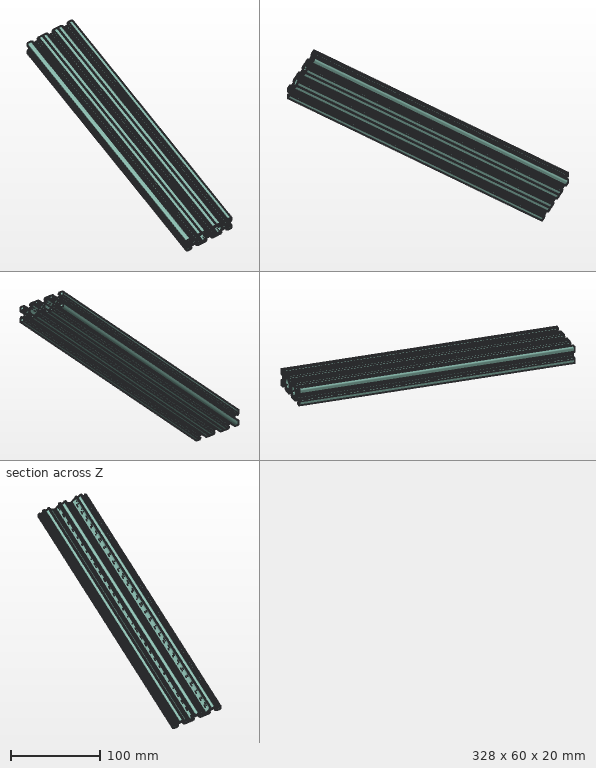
import cadquery as cq
LENGTH = 328.0
MODULE = 20.0
MODULE_COUNT = 3
WIDTH = MODULE * MODULE_COUNT
HEIGHT = MODULE
CORNER_RADIUS = 1.4

MOUTH_HALF_WIDTH = 4.75
THROAT_HALF_WIDTH = 3.18
LIP_THICKNESS = 1.8
SLOT_HALF_WIDTH = 5.25

CORE_HALF_SIZE = 4.45
BORE_DIAMETER = 5.0

WEB_SLOT_OFFSET = 0.8
WEB_CHAMBER_OFFSET = 1.2

CHAMBER_CORE_HALF_SIZE = 4.3
CHAMBER_HALF_HEIGHT = 7.2
CHAMBER_BULGE = 0.95

FLOOR_GROOVE_HALF_WIDTH = 1.4
FLOOR_GROOVE_BOTTOM_HALF_WIDTH = 0.55
FLOOR_GROOVE_DEPTH = 0.4
ROOF_GROOVE_HALF_WIDTH = 1.0
ROOF_GROOVE_DEPTH = 0.75
FACE_GROOVE_HALF_WIDTH = 0.35
FACE_GROOVE_DEPTH = 0.35

HALF_HEIGHT = HEIGHT / 2
HALF_MODULE = MODULE / 2
BORE_POSITIONS = (-MODULE, 0.0, MODULE)
CHAMBER_POSITIONS = (-HALF_MODULE, HALF_MODULE)


def extrude_section(outline):
    """Extrude a closed YZ outline over the full length, centred on the origin."""
    return outline.extrude(LENGTH / 2, both=True)


def make_bores():
    """Round bores through the middle of every core."""
    centers = [(y, 0) for y in BORE_POSITIONS]
    return extrude_section(cq.Workplane("YZ").pushPoints(centers).circle(BORE_DIAMETER / 2))


def make_slot():
    """Cutter for one upward-facing slot above a bore at the origin."""
    throat_top = HALF_HEIGHT - (MOUTH_HALF_WIDTH - THROAT_HALF_WIDTH)
    lip_bottom = HALF_HEIGHT - LIP_THICKNESS
    right_side = [
        (MOUTH_HALF_WIDTH, HALF_HEIGHT),
        (THROAT_HALF_WIDTH, throat_top),
        (THROAT_HALF_WIDTH, lip_bottom),
        (SLOT_HALF_WIDTH, lip_bottom),
        (SLOT_HALF_WIDTH, SLOT_HALF_WIDTH + WEB_SLOT_OFFSET),
        (CORE_HALF_SIZE - WEB_SLOT_OFFSET, CORE_HALF_SIZE),
        (FLOOR_GROOVE_HALF_WIDTH, CORE_HALF_SIZE),
        (FLOOR_GROOVE_BOTTOM_HALF_WIDTH, CORE_HALF_SIZE - FLOOR_GROOVE_DEPTH),
    ]
    left_side = [(-y, z) for y, z in reversed(right_side)]
    return extrude_section(cq.Workplane("YZ").polyline(right_side + left_side).close())


def make_chamber():
    """Cutter for the chamber between the middle core and the +Y end core."""
    inner_wall = CHAMBER_CORE_HALF_SIZE
    outer_wall = MODULE - CHAMBER_CORE_HALF_SIZE
    wall_top = CHAMBER_CORE_HALF_SIZE - WEB_CHAMBER_OFFSET
    roof_inner = CHAMBER_HALF_HEIGHT + WEB_CHAMBER_OFFSET
    roof_outer = MODULE - roof_inner
    upper_half = [
        (outer_wall, wall_top),
        (roof_outer, CHAMBER_HALF_HEIGHT),
        (HALF_MODULE + ROOF_GROOVE_HALF_WIDTH, CHAMBER_HALF_HEIGHT),
        (HALF_MODULE, CHAMBER_HALF_HEIGHT + ROOF_GROOVE_DEPTH),
        (HALF_MODULE - ROOF_GROOVE_HALF_WIDTH, CHAMBER_HALF_HEIGHT),
        (roof_inner, CHAMBER_HALF_HEIGHT),
        (inner_wall, wall_top),
    ]
    lower_half = [(y, -z) for y, z in reversed(upper_half)]
    bulge_tip = (outer_wall + CHAMBER_BULGE, 0)
    outline = cq.Workplane("YZ").polyline(upper_half + lower_half)
    return extrude_section(outline.threePointArc(bulge_tip, upper_half[0]).close())


def make_face_groove():
    """Cutter for a V-groove along the top face at Y = 0."""
    outline = [
        (-FACE_GROOVE_HALF_WIDTH, HALF_HEIGHT),
        (0, HALF_HEIGHT - FACE_GROOVE_DEPTH),
        (FACE_GROOVE_HALF_WIDTH, HALF_HEIGHT),
    ]
    return extrude_section(cq.Workplane("YZ").polyline(outline).close())


def placed(cutter, angle, y=0.0):
    """Turn a cutter about the X axis, then move it along Y."""
    return cutter.rotate((0, 0, 0), (1, 0, 0), angle).translate((0, y, 0)).vals()


slot = make_slot()
chamber = make_chamber()
face_groove = make_face_groove()

cutters = make_bores().vals()

for half_turn in (0, 180):
    for bore_y in BORE_POSITIONS:
        cutters += placed(slot, half_turn, bore_y)
    for chamber_y in CHAMBER_POSITIONS:
        cutters += placed(face_groove, half_turn, chamber_y)
    cutters += placed(chamber, half_turn)

for side in (-1, 1):
    cutters += placed(slot, -90 * side, MODULE * side)

bar = cq.Workplane("XY").box(LENGTH, WIDTH, HEIGHT).edges("|X").fillet(CORNER_RADIUS)
result = cq.Workplane(bar.val().cut(*cutters).Solids()[0])